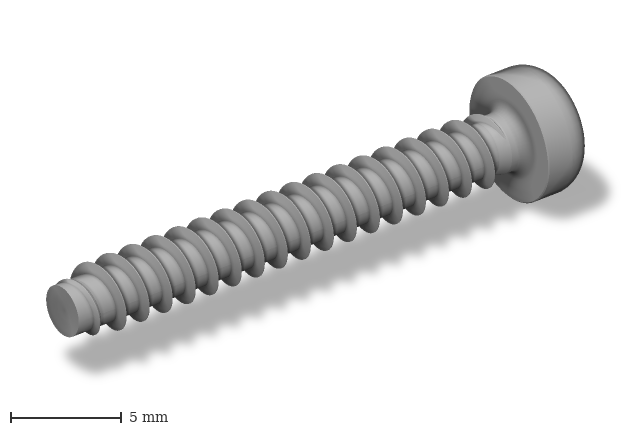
import cadquery as cq
import math

head_radius = 3.05
head_height = 2.69
head_rounding = 1.35
head_edge_chamfer = 0.05

shaft_length = 25.0
neck_radius = 1.40
neck_fillet = 0.48
neck_length = 0.84
cone_length = 0.60
core_radius = 1.24
tip_dish_depth = 0.10

thread_radius = 1.74
pitch = 1.29
thread_start_depth = 0.79
thread_turns = 18.55
fade_in_turns = 0.45
fade_out_turns = 1.25
steps_per_stretch = 16
fuse_tolerance = 1e-4

crest_half_width = 0.02
flank_half_width = 0.21
ramp_length = 0.30
ramp_height = 0.05
root_depth = 0.03
end_height = 0.015


def make_blank():
    """Head, neck and core as one turned body about the Y axis."""
    top = head_height
    arc_offset = head_rounding * (1 - math.sqrt(0.5))
    fillet_offset = neck_fillet * (1 - math.sqrt(0.5))
    cone_end = neck_length + cone_length
    outline = (
        cq.Workplane("XY")
        .moveTo(0, top)
        .lineTo(head_radius - head_rounding, top)
        .threePointArc(
            (head_radius - arc_offset, top - arc_offset),
            (head_radius, top - head_rounding),
        )
        .lineTo(head_radius, head_edge_chamfer)
        .lineTo(head_radius - head_edge_chamfer, 0)
        .lineTo(neck_radius + neck_fillet, 0)
        .threePointArc(
            (neck_radius + fillet_offset, -fillet_offset),
            (neck_radius, -neck_fillet),
        )
        .lineTo(neck_radius, -neck_length)
        .lineTo(core_radius, -cone_end)
        .lineTo(core_radius, -shaft_length)
        .lineTo(0, tip_dish_depth - shaft_length)
        .close()
    )
    return outline.revolve(360, (0, 0, 0), (0, 1, 0))


def faded_radius(full_radius, turn):
    """Radius after a number of turns, dropping almost to the core at both thread ends."""
    fade = min(1.0, turn / fade_in_turns, (thread_turns - turn) / fade_out_turns)
    end_radius = core_radius + end_height
    return end_radius + (full_radius - end_radius) * fade


def helical_edge(start_turn, end_turn, axial_offset, full_radius, fades):
    """A stretch of one thread edge, at an offset along the shaft from the crest centre."""
    points = []
    for step in range(steps_per_stretch + 1):
        turn = start_turn + (end_turn - start_turn) * step / steps_per_stretch
        radius = faded_radius(full_radius, turn) if fades else full_radius
        angle = 2 * math.pi * turn
        depth = thread_start_depth + pitch * turn + axial_offset
        points.append(cq.Vector(radius * math.cos(angle), -depth, radius * math.sin(angle)))
    return cq.Edge.makeSpline(points)


def thread_edges(start_turn, end_turn):
    """Edges of the thread profile over one stretch, in order around the profile."""
    root_radius = core_radius - root_depth
    profile = [
        (-flank_half_width - ramp_length, root_radius, False),
        (-flank_half_width, core_radius + ramp_height, True),
        (-crest_half_width, thread_radius, True),
        (crest_half_width, thread_radius, True),
        (flank_half_width, root_radius, False),
    ]
    return [helical_edge(start_turn, end_turn, *corner) for corner in profile]


def end_face(edges, end):
    """Flat face closing the thread at the start (0) or end (1) of the given edges."""
    corners = [edge.positionAt(end) for edge in edges]
    return cq.Face.makeFromWires(cq.Wire.makePolygon(corners, close=True))


def make_thread():
    """Thread ridge: ruled helical faces for the fades and each turn between, and flat ends."""
    full_turns = thread_turns - fade_in_turns - fade_out_turns
    full_stretches = math.ceil(full_turns)
    breaks = [fade_in_turns + full_turns * i / full_stretches for i in range(full_stretches + 1)]
    breaks = [0.0] + breaks + [thread_turns]
    stretches = [thread_edges(start, end) for start, end in zip(breaks, breaks[1:])]
    faces = [end_face(stretches[0], 0), end_face(stretches[-1], 1)]
    for edges in stretches:
        for i in range(len(edges)):
            faces.append(cq.Face.makeRuledSurface(edges[i - 1], edges[i]))
    return cq.Solid.makeSolid(cq.Shell.makeShell(faces))


screw = make_blank().union(cq.Workplane(make_thread()), tol=fuse_tolerance)
result = cq.Workplane(screw.solids().val())